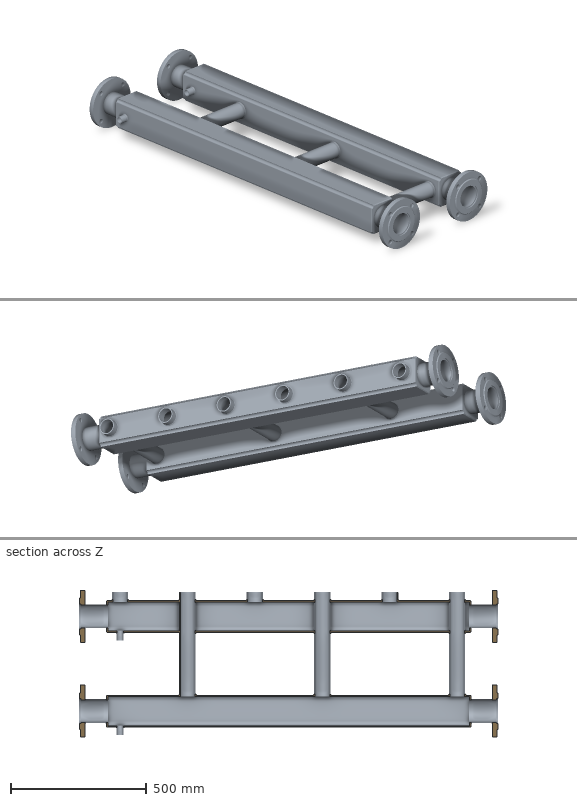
import cadquery as cq
overall_length = 1550.0
header_length = 1350.0
header_spacing = 350.0
header_width = 120.0
header_wall = 6.0
header_edge_radius = 10.0
header_inner_radius = 15.0
end_bevel = 3.0

flange_diameter = 195.0
flange_thickness = 22.0
flange_bore = 91.0
face_diameter = 133.0
face_height = 3.0
bolt_circle = 160.0
bolt_hole = 19.0
bolt_count = 4
first_bolt_angle = 45
end_pipe_outer = 88.0
end_pipe_inner = 82.0
end_pipe_setback = 5.0

branch_count = 6
branch_pitch = 250.0
branch_outer = 60.0
branch_inner = 53.0
branch_projection = 30.0

nipple_outer = 26.0
nipple_inner = 22.0
nipple_projection = 30.0

weld_leg = 3.0

to_front = cq.Vector(0, -1, 0)
to_rear = cq.Vector(0, 1, 0)
half_length = overall_length / 2
half_header = header_length / 2
half_width = header_width / 2
front_y = -header_spacing / 2
rear_y = header_spacing / 2
branch_start_x = -branch_pitch * (branch_count - 1) / 2
branch_tip_y = rear_y + half_width + branch_projection


def rod_x(diameter, x_start, x_end, y):
    """Round bar along X between two stations."""
    return cq.Workplane("YZ", origin=(x_start, y, 0)).circle(diameter / 2).extrude(x_end - x_start)


def rod_y(diameter, x, y_start, y_end):
    """Round bar along Y between two stations."""
    return cq.Workplane("XZ", origin=(x, y_start, 0)).circle(diameter / 2).extrude(y_start - y_end)


def weld_bead(diameter, x, y, direction):
    """Conical weld bead around a pipe that leaves a header wall at (x, y)."""
    pipe_radius = diameter / 2
    bead = cq.Solid.makeCone(pipe_radius + weld_leg, pipe_radius, weld_leg, cq.Vector(x, y, 0), direction)
    return cq.Workplane(bead)


def header_shell(y):
    """Closed hollow box with rounded long edges and bevelled ends."""
    inner_width = header_width - 2 * header_wall
    inner_length = header_length - 2 * header_wall
    outside = (
        cq.Workplane("XY")
        .box(header_length, header_width, header_width)
        .edges("|X")
        .fillet(header_edge_radius)
        .faces("<X or >X")
        .chamfer(end_bevel)
    )
    cavity = (
        cq.Workplane("XY")
        .box(inner_length, inner_width, inner_width)
        .edges("|X")
        .fillet(header_inner_radius)
    )
    return outside.cut(cavity).translate((0, y, 0))


def flange_bolt_holes(y):
    """Bolt holes on the diagonals, right through the flanges at both ends."""
    return (
        cq.Workplane("YZ", origin=(-half_length, y, 0))
        .polarArray(bolt_circle / 2, first_bolt_angle, 360, bolt_count)
        .circle(bolt_hole / 2)
        .extrude(overall_length)
    )


def flange_disc(y, side):
    """Flange disc with a conical-edged raised face on its outer side."""
    shoulder_x = side * (half_length - face_height)
    disc = rod_x(flange_diameter, side * (half_length - flange_thickness), shoulder_x, y)
    face = cq.Solid.makeCone(
        face_diameter / 2 + face_height,
        face_diameter / 2,
        face_height,
        cq.Vector(shoulder_x, y, 0),
        cq.Vector(side, 0, 0),
    )
    return disc.union(cq.Workplane(face))


def add_flanges(body, y):
    """Flanged pipe at each end, with the pipe tip set back inside the flange bore."""
    pipe_tip = half_length - end_pipe_setback
    bore_start = half_header - header_wall
    for side in (-1, 1):
        body = body.union(flange_disc(y, side))
        body = body.union(rod_x(end_pipe_outer, side * half_header, side * pipe_tip, y))
        body = body.cut(rod_x(flange_bore, side * pipe_tip, side * half_length, y))
        body = body.cut(rod_x(end_pipe_inner, side * bore_start, side * pipe_tip, y))
    return body.cut(flange_bolt_holes(y))


def add_nipple(body, y):
    """Open drain nipple on the -Y wall, in line with the first branch."""
    wall_y = y - half_width
    tip_y = wall_y - nipple_projection
    body = body.union(rod_y(nipple_outer, branch_start_x, wall_y, tip_y))
    body = body.union(weld_bead(nipple_outer, branch_start_x, wall_y, to_front))
    return body.cut(rod_y(nipple_inner, branch_start_x, wall_y + header_wall, tip_y))


def build_header(y):
    """Complete hollow header with its flanges and nipple."""
    return add_nipple(add_flanges(header_shell(y), y), y)


def add_branch(body, x, root_header_y):
    """Open pipe from the +Y wall of its root header to the common tip line at +Y."""
    root_wall_y = root_header_y + half_width
    bore_start_y = root_wall_y - header_wall
    body = body.union(rod_y(branch_outer, x, bore_start_y, branch_tip_y))
    body = body.union(weld_bead(branch_outer, x, root_wall_y, to_rear))
    if root_header_y != rear_y:
        body = body.union(weld_bead(branch_outer, x, rear_y - half_width, to_front))
        body = body.union(weld_bead(branch_outer, x, rear_y + half_width, to_rear))
    return body.cut(rod_y(branch_inner, x, bore_start_y, branch_tip_y))


result = build_header(front_y).union(build_header(rear_y))

for index in range(branch_count):
    root_y = rear_y if index % 2 == 0 else front_y
    result = add_branch(result, branch_start_x + index * branch_pitch, root_y)